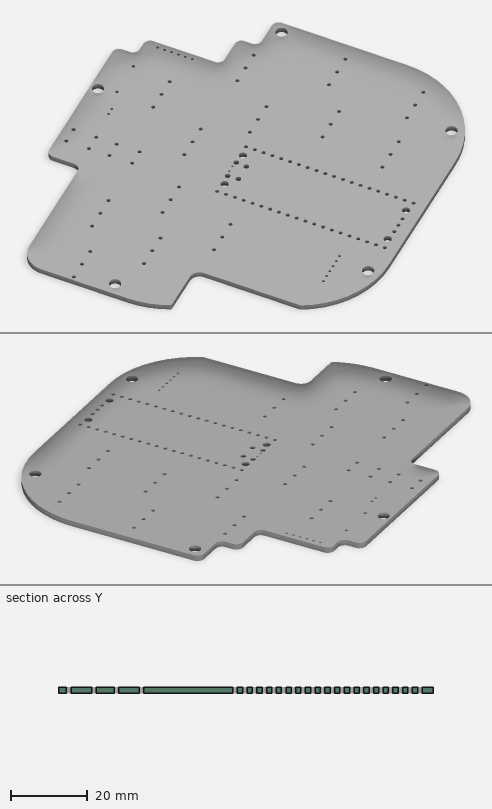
import cadquery as cq
import math

width = 97.9
depth = 107.2
thickness = 1.6

step_1_x = 6.1
step_2_x = 27.8
step_3_x = 33.8
shoulder_y = 80.9
step_1_y = 87.1
step_2_y = 97.1
step_radius = 1.9

left_edge_bottom_y = 38.2
tongue_left_x = 10.0
tongue_right_x = 52.6
tongue_left_radius = 6.3
lower_edge_y = 16.7
notch_radius = 2.8

sweep_radius = 25.9
sweep_center_x = width - sweep_radius
upper_sweep_y = depth - sweep_radius
lower_sweep_y = 40.1
tongue_sweep_x = 41.3

pin_span = 48.2
pins_per_row = 20
pin_pitch = pin_span / (pins_per_row - 1)
fine_pin_span = 10.0
fine_pins = 6
fine_pitch = fine_pin_span / (fine_pins - 1)

mounting_diameter = 3.2
mounting_holes = [(37.1, 104.1), (92.3, 90.6), (2.3, 65.4), (93.9, 35.6), (36.0, 3.4)]

three_pin_diameter = 1.1
three_pin_pitch = 2 * pin_pitch
three_pin_parts = [
    (34.0, 88.5), (56.3, 97.2), (79.8, 95.0), (62.7, 79.4), (81.5, 76.1), (44.8, 73.0), (18.1, 70.5),
    (32.7, 58.4), (36.3, 37.1), (54.2, 30.6), (21.8, 24.9), (39.8, 18.3), (25.2, 6.2),
]

button_diameter = 1.1
button_leg_x = 6.5
button_leg_y = 4.5
buttons = [(2.7, 44.8), (15.1, 44.8)]

resistor_diameter = 0.9
resistor_x = 7.2
resistor_y = 66.5
resistor_span = 4 * pin_pitch
small_part_diameter = 0.8
small_part_x = 8.6
small_part_y = 58.3

fine_pin_diameter = 0.8
upper_connector_x = 10.1
upper_connector_y = 85.4
right_connector_x = 84.9
right_connector_y = 27.2

module_x = 46.1
module_center_y = 53.8
module_row_spacing = 7 * pin_pitch
module_pin_diameter = 1.1
debug_pins = 3
debug_x = 94.1
module_mirrored_holes = [
    (46.7, 5.7, 2.1),
    (93.7, 5.7, 2.1),
    (46.2, 2.7, 1.5),
    (49.2, 2.5, 1.5),
    (45.9, 1.0, 0.6),
]


def arc_point(center_x, center_y, radius, angle):
    """Point on a circle, with the angle in radians from +X."""
    return (center_x + radius * math.cos(angle), center_y + radius * math.sin(angle))


def line_of_points(x, y, count, step_x=0.0, step_y=0.0):
    """Evenly spaced points that start at (x, y)."""
    return [(x + i * step_x, y + i * step_y) for i in range(count)]


def board():
    lower_end_angle = math.asin((lower_edge_y - lower_sweep_y) / sweep_radius)
    lower_end = arc_point(sweep_center_x, lower_sweep_y, sweep_radius, lower_end_angle)
    lower_mid = arc_point(sweep_center_x, lower_sweep_y, sweep_radius, lower_end_angle / 2)
    upper_mid = arc_point(sweep_center_x, upper_sweep_y, sweep_radius, math.pi / 4)

    tongue_turn = math.asin((tongue_right_x - tongue_sweep_x) / sweep_radius)
    down = -math.pi / 2
    tongue_end = arc_point(tongue_sweep_x, sweep_radius, sweep_radius, down + tongue_turn)
    tongue_mid = arc_point(tongue_sweep_x, sweep_radius, sweep_radius, down + tongue_turn / 2)

    plate = (
        cq.Workplane("XY")
        .moveTo(tongue_left_x, 0)
        .lineTo(tongue_sweep_x, 0)
        .threePointArc(tongue_mid, tongue_end)
        .lineTo(tongue_right_x, lower_edge_y)
        .lineTo(*lower_end)
        .threePointArc(lower_mid, (width, lower_sweep_y))
        .lineTo(width, upper_sweep_y)
        .threePointArc(upper_mid, (sweep_center_x, depth))
        .lineTo(step_3_x, depth)
        .lineTo(step_3_x, step_2_y)
        .lineTo(step_2_x, step_2_y)
        .lineTo(step_2_x, step_1_y)
        .lineTo(step_1_x, step_1_y)
        .lineTo(step_1_x, shoulder_y)
        .lineTo(0, shoulder_y)
        .lineTo(0, left_edge_bottom_y)
        .lineTo(tongue_left_x, left_edge_bottom_y)
        .close()
        .extrude(thickness)
    )

    step_corners = [
        (step_3_x, depth), (step_3_x, step_2_y), (step_2_x, step_2_y), (step_2_x, step_1_y),
        (step_1_x, step_1_y), (step_1_x, shoulder_y), (0, shoulder_y), (0, left_edge_bottom_y),
        (tongue_left_x, left_edge_bottom_y),
    ]
    plate = round_corners(plate, step_corners, step_radius)
    plate = round_corners(plate, [(tongue_left_x, 0)], tongue_left_radius)
    return round_corners(plate, [(tongue_right_x, lower_edge_y)], notch_radius)


def round_corners(plate, corners, radius):
    """Fillet the upright edges that stand at the given corners."""
    for x, y in corners:
        nearest = cq.selectors.NearestToPointSelector((x, y, thickness / 2))
        plate = plate.edges(nearest).fillet(radius)
    return plate


def pegs(points, diameter):
    """Cylinders through the full thickness, used to cut holes."""
    return cq.Workplane("XY").pushPoints(points).circle(diameter / 2).extrude(thickness)


def three_pin_points():
    points = []
    for x, y in three_pin_parts:
        points += line_of_points(x, y - three_pin_pitch, 3, step_y=three_pin_pitch)
    return points


def button_points():
    points = []
    for x, y in buttons:
        points += line_of_points(x, y, 2, step_x=button_leg_x)
        points += line_of_points(x, y + button_leg_y, 2, step_x=button_leg_x)
    return points


def connector_points():
    upper = line_of_points(upper_connector_x, upper_connector_y, fine_pins, step_x=fine_pitch)
    right = line_of_points(right_connector_x, right_connector_y, fine_pins, step_y=fine_pitch)
    return upper + right


def module_pin_points():
    points = line_of_points(debug_x, module_center_y - pin_pitch, debug_pins, step_y=pin_pitch)
    for side in (-1, 1):
        row_y = module_center_y + side * module_row_spacing / 2
        points += line_of_points(module_x, row_y, pins_per_row, step_x=pin_pitch)
    return points


result = board()
result = result.cut(pegs(mounting_holes, mounting_diameter))
result = result.cut(pegs(three_pin_points(), three_pin_diameter))
result = result.cut(pegs(button_points(), button_diameter))
resistor_points = line_of_points(resistor_x, resistor_y, 2, step_y=resistor_span)
result = result.cut(pegs(resistor_points, resistor_diameter))
small_part_points = line_of_points(small_part_x, small_part_y, 2, step_y=fine_pitch)
result = result.cut(pegs(small_part_points, small_part_diameter))
result = result.cut(pegs(connector_points(), fine_pin_diameter))
result = result.cut(pegs(module_pin_points(), module_pin_diameter))
for hole_x, offset, hole_diameter in module_mirrored_holes:
    pair = [(hole_x, module_center_y - offset), (hole_x, module_center_y + offset)]
    result = result.cut(pegs(pair, hole_diameter))